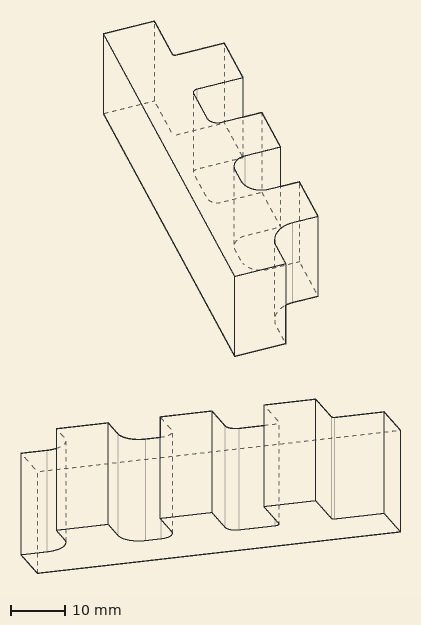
import cadquery as cq

length = 70.0
step = length / 7
height = 2 * step
base_depth = step
tooth_depth = step

root_radii = [0.5, 1.0, 2.0, 3.0, 4.0, 5.0]

result = cq.Workplane("XY").box(length, base_depth, height, centered=False)

tooth_starts = [step, 3 * step, 5 * step]
for start in tooth_starts:
    tooth = (
        cq.Workplane("XY")
        .box(step, tooth_depth, height, centered=False)
        .translate((start, base_depth, 0))
    )
    result = result.union(tooth)

root_positions = [side for start in tooth_starts for side in (start, start + step)]
for position, radius in zip(root_positions, root_radii):
    root_edge = cq.selectors.NearestToPointSelector((position, base_depth, height / 2))
    result = result.edges("|Z").edges(root_edge).fillet(radius)